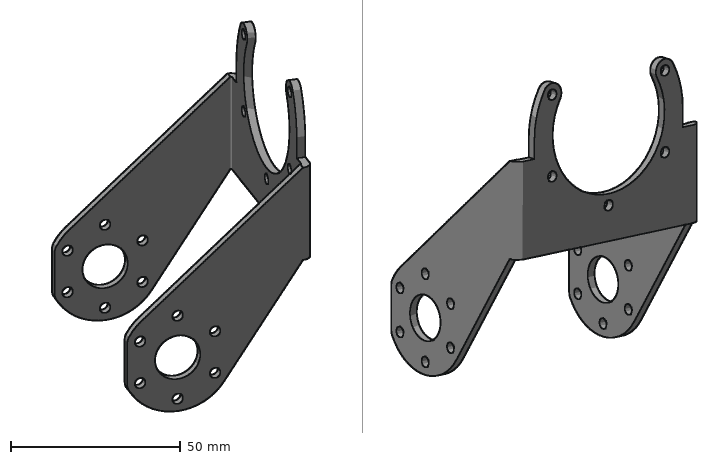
import cadquery as cq
import math

width = 71.0
depth = 57.7
thickness = 2.7
inner_bend_radius = 0.4
outer_bend_radius = thickness + inner_bend_radius
shoulder_z = -6.0
web_bottom_z = -36.0

ring_bolt_radius = 25.0
ring_end_radius = 3.5
ring_inner_radius = ring_bolt_radius - ring_end_radius
ring_outer_radius = ring_bolt_radius + ring_end_radius
ring_end_angle = 30
ring_hole_count = 5
screw_diameter = 3.2

pivot_y = -42.0
pivot_z = -62.0
arm_end_radius = 17.5
arm_bolt_radius = 13.5
arm_bore_diameter = 14.0
flat_corner_radius = 3.5
bolt_spacing_angle = 60


def polar(radius, degrees, center=(0, 0)):
    angle = math.radians(degrees)
    return (center[0] + radius * math.cos(angle), center[1] + radius * math.sin(angle))


def mirrored(point):
    return (-point[0], point[1])


def tangent_point(point, side):
    """Point where a line from the given point touches the arm end circle."""
    dy = point[0] - pivot_y
    dz = point[1] - pivot_z
    swing = math.degrees(math.acos(arm_end_radius / math.hypot(dy, dz)))
    direction = math.degrees(math.atan2(dz, dy))
    return polar(arm_end_radius, direction + side * swing, (pivot_y, pivot_z))


def make_channel():
    """U-shaped bent sheet, extruded over the full height of the arms."""
    height = shoulder_z - (pivot_z - arm_end_radius)
    outer = (
        cq.Workplane("XY", origin=(0, -depth / 2, shoulder_z - height))
        .rect(width, depth)
        .extrude(height)
        .edges("|Z and >Y")
        .fillet(outer_bend_radius)
    )
    inner = (
        cq.Workplane("XY", origin=(0, -depth / 2 - thickness, shoulder_z - height))
        .rect(width - 2 * thickness, depth)
        .extrude(height)
        .edges("|Z and >Y")
        .fillet(inner_bend_radius)
    )
    return outer.cut(inner)


def make_side_outline():
    """Side silhouette of the web and arms, extruded across the full width."""
    bend_y = -outer_bend_radius
    upper_bend = (bend_y, shoulder_z)
    lower_bend = (bend_y, web_bottom_z)
    upper_tangent = tangent_point(upper_bend, 1)
    lower_tangent = tangent_point(lower_bend, -1)

    corner_y = -depth + flat_corner_radius
    corner_rise = math.sqrt((arm_end_radius - flat_corner_radius) ** 2 - (corner_y - pivot_y) ** 2)
    corner_angle = math.degrees(math.atan2(corner_rise, corner_y - pivot_y))
    upper_corner = (corner_y, pivot_z + corner_rise)
    lower_corner = (corner_y, pivot_z - corner_rise)
    middle_angle = (corner_angle + 180) / 2
    pivot = (pivot_y, pivot_z)
    upper_angle = math.degrees(math.atan2(upper_tangent[1] - pivot_z, upper_tangent[0] - pivot_y))

    return (
        cq.Workplane("YZ")
        .moveTo(0, web_bottom_z)
        .lineTo(0, shoulder_z)
        .lineTo(*upper_bend)
        .lineTo(*upper_tangent)
        .threePointArc(
            polar(arm_end_radius, (upper_angle + corner_angle) / 2, pivot),
            polar(arm_end_radius, corner_angle, pivot),
        )
        .threePointArc(
            polar(flat_corner_radius, middle_angle, upper_corner), (-depth, upper_corner[1])
        )
        .lineTo(-depth, lower_corner[1])
        .threePointArc(
            polar(flat_corner_radius, -middle_angle, lower_corner),
            polar(arm_end_radius, -corner_angle, pivot),
        )
        .threePointArc((pivot_y, pivot_z - arm_end_radius), lower_tangent)
        .lineTo(*lower_bend)
        .close()
        .extrude(width / 2, both=True)
    )


def make_ring_plate():
    """Open ring with rounded tips, joined to the web below the shoulders."""
    tip_center = polar(ring_bolt_radius, ring_end_angle)
    outer_tip = polar(ring_outer_radius, ring_end_angle)
    inner_tip = polar(ring_inner_radius, ring_end_angle)
    outer_middle = polar(ring_outer_radius, ring_end_angle / 2)
    tip_middle = polar(ring_end_radius, ring_end_angle + 90, tip_center)
    return (
        cq.Workplane("XZ")
        .moveTo(ring_outer_radius, web_bottom_z)
        .lineTo(ring_outer_radius, 0)
        .threePointArc(outer_middle, outer_tip)
        .threePointArc(tip_middle, inner_tip)
        .threePointArc((0, -ring_inner_radius), mirrored(inner_tip))
        .threePointArc(mirrored(tip_middle), mirrored(outer_tip))
        .threePointArc(mirrored(outer_middle), (-ring_outer_radius, 0))
        .lineTo(-ring_outer_radius, web_bottom_z)
        .close()
        .extrude(thickness)
    )


def make_ring_opening():
    return cq.Workplane("XZ").circle(ring_inner_radius).extrude(thickness)


def make_ring_holes():
    """Screw holes on a six-position pattern; the sixth position falls in the gap of the ring."""
    first_angle = ring_end_angle - (ring_hole_count - 1) * bolt_spacing_angle
    centers = [
        polar(ring_bolt_radius, first_angle + i * bolt_spacing_angle)
        for i in range(ring_hole_count)
    ]
    return cq.Workplane("XZ").pushPoints(centers).circle(screw_diameter / 2).extrude(thickness)


def make_arm_holes():
    """Bore and six screw holes through both arms."""
    plane = cq.Workplane("YZ", origin=(0, pivot_y, pivot_z))
    bore = plane.circle(arm_bore_diameter / 2).extrude(width / 2, both=True)
    screws = (
        plane.polarArray(arm_bolt_radius, 90, 360, 360 // bolt_spacing_angle)
        .circle(screw_diameter / 2)
        .extrude(width / 2, both=True)
    )
    return bore.union(screws)


bracket = make_channel().intersect(make_side_outline())
bracket = bracket.cut(make_ring_opening()).union(make_ring_plate())
result = bracket.cut(make_ring_holes()).cut(make_arm_holes())